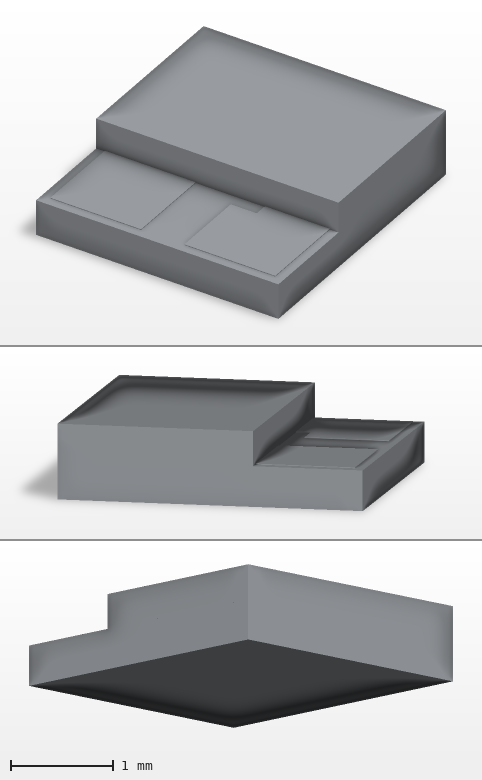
import cadquery as cq

width = 2.8
length = 3.05
height = 0.75

base_height = 0.403
cap_height = height - base_height
cap_length = 1.955
base_front = -length / 2
cap_back = length / 2
cap_front = cap_back - cap_length

pad_margin = 0.1
pad_width = 1.05
pad_thickness = 0.01
notch_width = 0.3
notch_depth = 0.15
pad_front = base_front + pad_margin
pad_outer_x = width / 2 - pad_margin
pad_inner_x = pad_outer_x - pad_width

top_pad_side = 1.15
top_pad_back_margin = 0.175
top_pad_thickness = pad_thickness
top_pad_y = cap_back - top_pad_back_margin - top_pad_side / 2


def block(x_min, x_max, y_min, y_max, z_min, z_max):
    """Rectangular block between the given limits."""
    return cq.Workplane("XY").box(
        x_max - x_min, y_max - y_min, z_max - z_min, centered=False
    ).translate((x_min, y_min, z_min))


def make_base():
    return block(-width / 2, width / 2, base_front, cap_back, 0, base_height)


def make_top_pad():
    half_side = top_pad_side / 2
    return block(
        -half_side, half_side,
        top_pad_y - half_side, top_pad_y + half_side,
        height - top_pad_thickness, height,
    )


def make_cap(top_pad):
    """Cap over the rear of the base, with a recess matching the top pad."""
    cap = block(-width / 2, width / 2, cap_front, cap_back, base_height, base_height + cap_height)
    return cap.cut(top_pad)


def make_plain_pad():
    """Left pad, from the front margin back to the cap."""
    return block(
        -pad_outer_x, -pad_inner_x, pad_front, cap_front,
        base_height, base_height + pad_thickness,
    )


def make_notched_pad():
    """Right pad, with its rear inner corner cut away."""
    outline = [
        (pad_inner_x, pad_front),
        (pad_outer_x, pad_front),
        (pad_outer_x, cap_front),
        (pad_inner_x + notch_width, cap_front),
        (pad_inner_x + notch_width, cap_front - notch_depth),
        (pad_inner_x, cap_front - notch_depth),
    ]
    return (
        cq.Workplane("XY").workplane(offset=base_height)
        .polyline(outline).close().extrude(pad_thickness)
    )


base = make_base()
top_pad = make_top_pad()
cap = make_cap(top_pad)
plain_pad = make_plain_pad()
notched_pad = make_notched_pad()

result = cq.Compound.makeCompound(
    [base.val(), cap.val(), top_pad.val(), plain_pad.val(), notched_pad.val()]
)